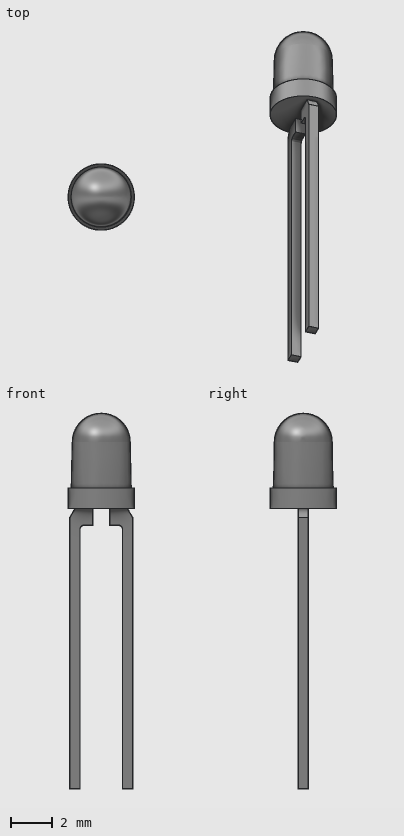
import cadquery as cq
import math

flange_diameter = 3.2
flange_height = 1.0
lens_base_radius = 1.45
dome_radius = 1.4
lens_height = 4.6
dome_start = lens_height - dome_radius

overall_height = 18.1
lead_length = overall_height - lens_height
lead_pitch = 2.54
lead_width = 0.5
tab_gap = 0.8
tab_height = 0.8
shoulder_width = 0.25
shoulder_angle = 60.0
shoulder_height = shoulder_width * math.tan(math.radians(shoulder_angle))
inner_corner_radius = 0.2


def make_lens():
    """Flange, slightly tapered barrel and hemispherical dome in one revolve."""
    flange_radius = flange_diameter / 2
    dome_middle = dome_radius * 0.5**0.5
    profile = (
        cq.Workplane("XZ")
        .moveTo(0, 0)
        .lineTo(flange_radius, 0)
        .lineTo(flange_radius, flange_height)
        .lineTo(lens_base_radius, flange_height)
        .lineTo(dome_radius, dome_start)
        .threePointArc((dome_middle, dome_start + dome_middle), (0, lens_height))
        .close()
    )
    return profile.revolve(360, (0, 0, 0), (0, 1, 0))


def make_right_lead():
    """Straight leg with a wider tab under the flange and a sloped outer shoulder."""
    outer_x = (lead_pitch + lead_width) / 2
    inner_x = outer_x - lead_width
    tab_x = tab_gap / 2
    lead = (
        cq.Workplane("XZ")
        .moveTo(tab_x, 0)
        .lineTo(outer_x - shoulder_width, 0)
        .lineTo(outer_x, -shoulder_height)
        .lineTo(outer_x, -lead_length)
        .lineTo(inner_x, -lead_length)
        .lineTo(inner_x, -tab_height)
        .lineTo(tab_x, -tab_height)
        .close()
        .extrude(lead_width / 2, both=True)
    )
    inner_corner = cq.selectors.NearestToPointSelector((inner_x, 0, -tab_height))
    return lead.edges("|Y").edges(inner_corner).fillet(inner_corner_radius)


right_lead = make_right_lead()
left_lead = right_lead.mirror("YZ")
result = make_lens().union(right_lead).union(left_lead)